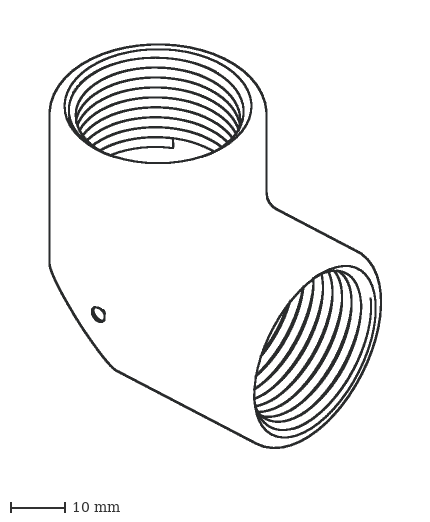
import math

import cadquery as cq


body_radius = 20.0
arm_length = 38.0
rim_round = 2.0
crotch_round = 3.5
full_length = arm_length + body_radius

corner_flat_distance = body_radius / math.sqrt(2)
side_flat_distance = 16.0
side_flat_tilt = 45.0

mark_diameter = 3.0
mark_offset = 2.55
mark_floor = 19.5

bore_diameter = 30.3
bore_radius = bore_diameter / 2
mouth_radius = 17.2
bend_radius = 14.0

thread_pitch = 25.4 / 11
thread_root_radius = 16.62
groove_width = 2.25
groove_overlap = 0.02
thread_start_height = 17.93
thread_start_angle = 120.0
thread_height = 22.0

tool_size = 3 * full_length


def on_x_arm(part):
    """Turn a shape made on the Z arm over onto the X arm."""
    return part.rotate((0, 0, 0), (1, 0, 1), 180)


def make_arm():
    """Z arm, mitred at its lower end by the plane x = z."""
    base = cq.Workplane("XY", origin=(0, 0, -body_radius))
    cylinder = base.circle(body_radius).extrude(full_length)
    corners = [
        (-full_length, -full_length),
        (full_length, full_length),
        (-full_length, full_length),
    ]
    mitre_side = cq.Workplane("XZ").polyline(corners).close().extrude(full_length, both=True)
    return cylinder.intersect(mitre_side)


def corner_flat_tool(distance, tilt_degrees):
    """Block beyond a plane parallel to (1, 0, -1), facing the outer corner."""
    tilt = math.radians(tilt_degrees)
    outward = math.cos(tilt) / math.sqrt(2)
    normal = cq.Vector(-outward, math.sin(tilt), -outward)
    plane = cq.Plane(normal * distance, xDir=(1, 0, -1), normal=normal)
    return cq.Workplane(plane).rect(tool_size, tool_size).extrude(tool_size)


def mark_tool(side):
    """Pin that sinks the round mark into the side facing +Y (1) or -Y (-1)."""
    floor_center = (mark_offset, side * mark_floor, mark_offset)
    return cq.Workplane("XZ", origin=floor_center).circle(mark_diameter / 2).extrude(-side * body_radius)


def round_crotch(body):
    """Fillet the inner seam between the arms, from one mark to the other."""
    seam_start = mark_offset + mark_diameter / 2
    inner_seam = cq.selectors.BoxSelector(
        (seam_start, -body_radius, seam_start),
        (full_length, body_radius, full_length),
    )
    return body.edges(inner_seam).fillet(crotch_round)


def make_bore():
    """Straight bore of the Z arm with its 45 degree mouth."""
    straight = cq.Workplane("XY", origin=(0, 0, bend_radius))
    straight = straight.circle(bore_radius).extrude(arm_length - bend_radius)
    cone = [(0, arm_length - mouth_radius), (mouth_radius, arm_length), (0, arm_length)]
    mouth = cq.Workplane("XZ").polyline(cone).close().revolve(360, (0, 0, 0), (0, 1, 0))
    return straight.union(mouth)


def make_bend():
    """Quarter-turn passage; its round section stops at the turning axis."""
    half_chord = math.sqrt(bore_radius**2 - bend_radius**2)
    section = cq.Workplane("XY", origin=(0, 0, bend_radius)).moveTo(bend_radius, half_chord)
    section = section.threePointArc((-bore_radius, 0), (bend_radius, -half_chord)).close()
    return section.revolve(90, (bend_radius, 1, 0), (bend_radius, 0, 0))


def make_thread_groove():
    """Right-hand V groove of the Z arm, running out through the mouth."""
    inner_radius = bore_radius - groove_overlap
    groove_depth = thread_root_radius - bore_radius
    half_width = groove_width / 2 * (1 + groove_overlap / groove_depth)
    profile = [(inner_radius, -half_width), (thread_root_radius, 0), (inner_radius, half_width)]
    helix = cq.Workplane(cq.Wire.makeHelix(thread_pitch, thread_height, bore_radius))
    groove = cq.Workplane("XZ").polyline(profile).close().sweep(helix, isFrenet=True)
    groove = groove.translate((0, 0, thread_start_height))
    return groove.rotate((0, 0, 0), (0, 0, 1), thread_start_angle)


arm = make_arm()
body = arm.union(on_x_arm(arm))
body = body.cut(corner_flat_tool(corner_flat_distance, 0))
for side in (1, -1):
    body = body.cut(corner_flat_tool(side_flat_distance, side * side_flat_tilt))
    body = body.cut(mark_tool(side))
body = round_crotch(body)
body = body.faces(">Z or >X").edges().fillet(rim_round)

body = body.cut(make_bend())
for tool in (make_bore(), make_thread_groove()):
    body = body.cut(tool).cut(on_x_arm(tool))

result = body.solids()